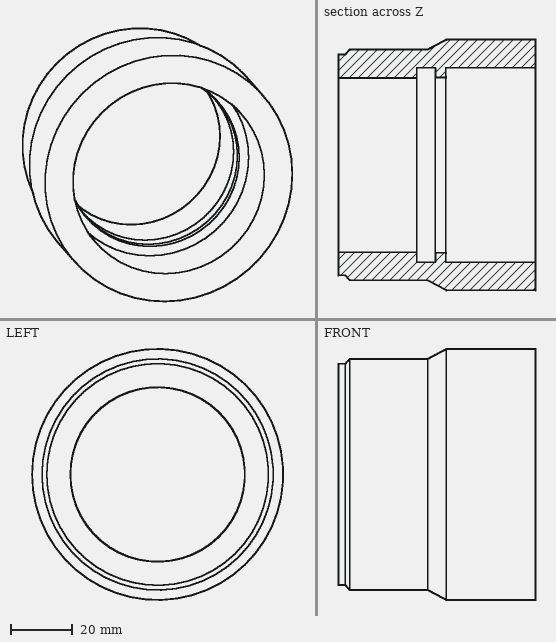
import cadquery as cq

length = 64.0
lip_length = 2.3
chamfer_end = 3.7
flare_start = 28.9
flare_end = 35.05
groove_start = 25.4
groove_end = 31.45
socket_start = 34.9

lip_diameter = 71.9
spigot_diameter = 75.0
body_diameter = 81.5

bore_diameter = 56.5
groove_diameter = 63.0
shoulder_diameter = 56.8
socket_diameter = 63.0


def revolved_solid(stations):
    """Revolve (x, diameter) stations about the X axis into a solid."""
    start_x = stations[0][0]
    end_x = stations[-1][0]
    profile = [(start_x, 0)]
    profile += [(x, diameter / 2) for x, diameter in stations]
    profile.append((end_x, 0))
    return cq.Workplane("XY").polyline(profile).close().revolve(360, (0, 0, 0), (1, 0, 0))


outside = revolved_solid([
    (0, lip_diameter),
    (lip_length, lip_diameter),
    (chamfer_end, spigot_diameter),
    (flare_start, spigot_diameter),
    (flare_end, body_diameter),
    (length, body_diameter),
])

inside = revolved_solid([
    (0, bore_diameter),
    (groove_start, bore_diameter),
    (groove_start, groove_diameter),
    (groove_end, groove_diameter),
    (groove_end, shoulder_diameter),
    (socket_start, shoulder_diameter),
    (socket_start, socket_diameter),
    (length, socket_diameter),
])

result = outside.cut(inside)